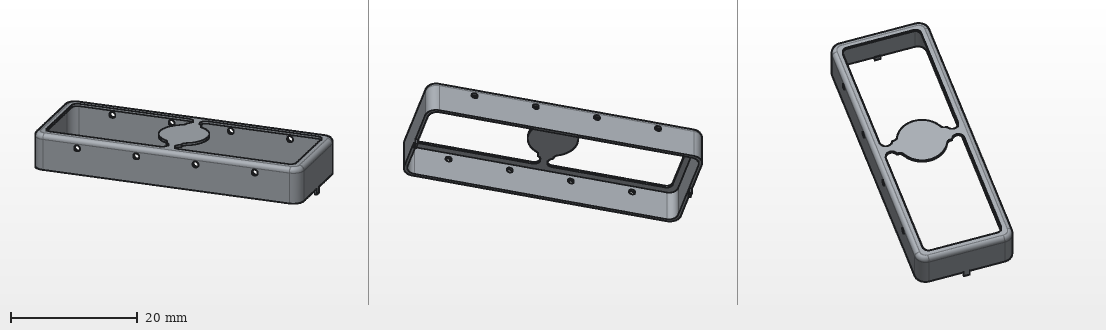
import cadquery as cq
import math

length = 45.3
width = 16.2
total_height = 7.0
tab_height = 1.0
body_height = total_height - tab_height
corner_radius = 1.8
top_fillet = 0.8

wall = 0.5
plate_thickness = 0.4
inner_corner_radius = 1.5

window_end_x = length / 2 - 1.55
window_side_y = 6.52
window_corner_radius = 1.0

disk_radius = 4.01
neck_half_width = 0.6
shoulder_half_width = 1.25
shoulder_fillet = 0.8

hole_diameter = 1.0
hole_depth_from_top = 1.6
hole_pitch = 10.0
hole_count = 4

tab_width = 1.0
tab_thickness = 0.35


def make_shell():
    """Rounded box, filleted on top and hollowed from below."""
    body = (
        cq.Workplane("XY")
        .box(length, width, body_height, centered=(True, True, False))
        .edges("|Z")
        .fillet(corner_radius)
        .faces(">Z")
        .edges()
        .fillet(top_fillet)
    )
    cavity = (
        cq.Workplane("XY")
        .box(
            length - 2 * wall,
            width - 2 * wall,
            body_height - plate_thickness,
            centered=(True, True, False),
        )
        .edges("|Z")
        .fillet(inner_corner_radius)
    )
    return body.cut(cavity)


def make_window():
    """Cutter for the +X window, bounded on its inner side by the neck and disk."""
    neck_x = neck_half_width + window_corner_radius
    neck_y = window_side_y - window_corner_radius
    shoulder_dx = neck_x - shoulder_half_width
    shoulder_y = neck_y - math.sqrt(window_corner_radius**2 - shoulder_dx**2)

    fillet_x = shoulder_half_width + shoulder_fillet
    center_distance = disk_radius + shoulder_fillet
    fillet_y = math.sqrt(center_distance**2 - fillet_x**2)
    disk_angle = math.atan2(fillet_y, fillet_x)
    touch_x = disk_radius * math.cos(disk_angle)
    touch_y = disk_radius * math.sin(disk_angle)
    middle_angle = math.pi + disk_angle / 2
    middle_x = fillet_x + shoulder_fillet * math.cos(middle_angle)
    middle_y = fillet_y + shoulder_fillet * math.sin(middle_angle)

    return (
        cq.Workplane("XY")
        .moveTo(neck_x, window_side_y)
        .threePointArc((neck_half_width, neck_y), (shoulder_half_width, shoulder_y))
        .lineTo(shoulder_half_width, fillet_y)
        .threePointArc((middle_x, middle_y), (touch_x, touch_y))
        .threePointArc((disk_radius, 0), (touch_x, -touch_y))
        .threePointArc((middle_x, -middle_y), (shoulder_half_width, -fillet_y))
        .lineTo(shoulder_half_width, -shoulder_y)
        .threePointArc((neck_half_width, -neck_y), (neck_x, -window_side_y))
        .lineTo(window_end_x, -window_side_y)
        .lineTo(window_end_x, window_side_y)
        .close()
        .extrude(body_height)
        .edges("|Z and >X")
        .fillet(window_corner_radius)
    )


def make_side_holes():
    """Row of cutters running along Y through both long walls."""
    first_x = -hole_pitch * (hole_count - 1) / 2
    centers = [(first_x + i * hole_pitch, body_height - hole_depth_from_top) for i in range(hole_count)]
    return (
        cq.Workplane("XZ")
        .pushPoints(centers)
        .circle(hole_diameter / 2)
        .extrude(width, both=True)
    )


def make_tab(side):
    """Tab below one end wall, flush with its outer face; side is -1 or 1."""
    center_x = side * (length - tab_thickness) / 2
    return (
        cq.Workplane("XY", origin=(center_x, 0, -tab_height))
        .box(tab_thickness, tab_width, 2 * tab_height, centered=(True, True, False))
    )


window = make_window()
result = make_shell().cut(window).cut(window.mirror("YZ")).cut(make_side_holes())
for side in (-1, 1):
    result = result.union(make_tab(side))